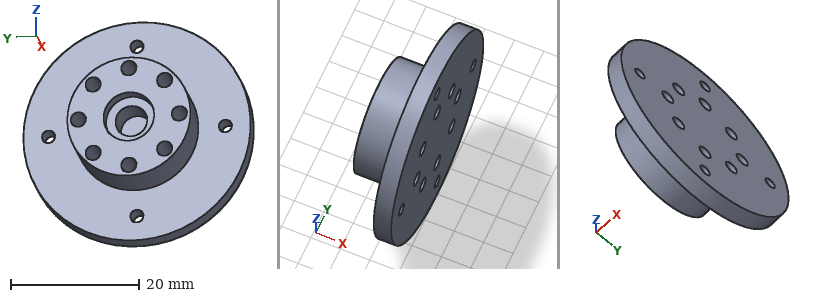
import cadquery as cq

flange_diameter = 36.0
flange_thickness = 3.0
hub_diameter = 19.5
hub_length = 7.0

counterbore_diameter = 8.0
counterbore_depth = 2.2
bore_diameter = 5.0
bore_depth = hub_length

hub_hole_count = 8
hub_hole_diameter = 2.4
hub_hole_circle_diameter = 16.0
flange_hole_count = 4
flange_hole_diameter = 2.05
flange_hole_circle_diameter = 28.0

total_length = hub_length + flange_thickness


def cylinder_along_x(diameter, start_x, length):
    """Solid cylinder on the part's axis, growing toward +X."""
    return cq.Workplane("YZ").workplane(offset=start_x).circle(diameter / 2).extrude(length)


def hole_ring(count, hole_diameter, circle_diameter):
    """Full-length cutters evenly spaced on a circle, the first one on +Y."""
    return (
        cq.Workplane("YZ")
        .polarArray(circle_diameter / 2, 0, 360, count)
        .circle(hole_diameter / 2)
        .extrude(total_length)
    )


hub = cylinder_along_x(hub_diameter, 0, hub_length)
flange = cylinder_along_x(flange_diameter, hub_length, flange_thickness)
body = hub.union(flange)

body = body.cut(cylinder_along_x(counterbore_diameter, 0, counterbore_depth))
body = body.cut(cylinder_along_x(bore_diameter, 0, bore_depth))

body = body.cut(hole_ring(hub_hole_count, hub_hole_diameter, hub_hole_circle_diameter))
body = body.cut(hole_ring(flange_hole_count, flange_hole_diameter, flange_hole_circle_diameter))

result = body